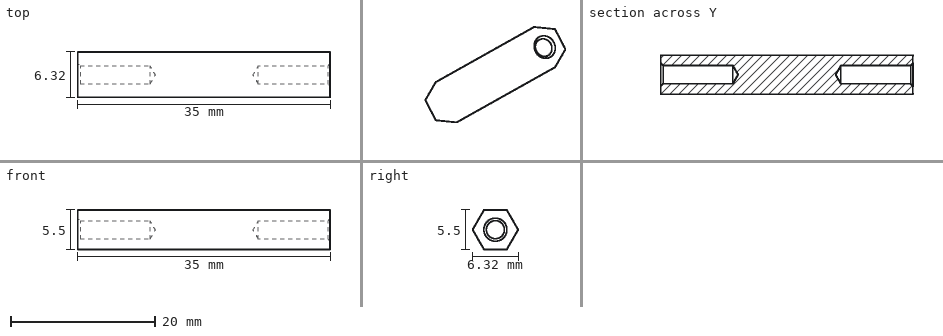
import cadquery as cq
import math

length = 35.0
across_flats = 5.5
edge_radius = 0.1

hole_diameter = 2.5
hole_depth = 10.0
drill_point_angle = 120.0
countersink_diameter = 3.2
countersink_angle = 90.0

across_corners = across_flats / math.cos(math.radians(30))


def cone_height(radial_drop, included_angle):
    """Axial length over which a cone narrows by radial_drop."""
    return radial_drop / math.tan(math.radians(included_angle / 2))


def make_body():
    """Hexagonal bar with flats on top and bottom and every edge rounded."""
    bar = cq.Workplane("YZ").polygon(6, across_corners).extrude(length / 2, both=True)
    return bar.edges().fillet(edge_radius)


def make_hole():
    """Countersunk blind hole with a drill point, entering the -X end."""
    hole_radius = hole_diameter / 2
    countersink_radius = countersink_diameter / 2
    countersink_depth = cone_height(countersink_radius - hole_radius, countersink_angle)
    face_x = -length / 2
    bore_end_x = face_x + hole_depth
    tip_x = bore_end_x + cone_height(hole_radius, drill_point_angle)
    half_profile = (
        cq.Workplane("XY")
        .moveTo(face_x, 0)
        .lineTo(face_x, countersink_radius)
        .lineTo(face_x + countersink_depth, hole_radius)
        .lineTo(bore_end_x, hole_radius)
        .lineTo(tip_x, 0)
        .close()
    )
    return half_profile.revolve(360, (0, 0, 0), (1, 0, 0))


left_hole = make_hole()
right_hole = left_hole.mirror("YZ")
result = make_body().cut(left_hole).cut(right_hole)